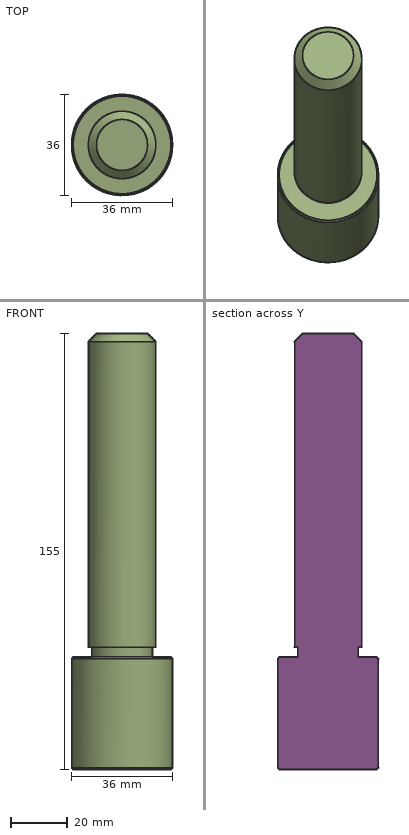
import cadquery as cq

total_length = 155.0
head_diameter = 36.0
head_length = 40.0
head_chamfer = 0.6
neck_diameter = 21.7
neck_length = 3.4
shank_diameter = 24.0
tip_chamfer = 3.0

shank_bottom = head_length + neck_length
head_radius = head_diameter / 2
neck_radius = neck_diameter / 2
shank_radius = shank_diameter / 2

profile = [
    (0, 0),
    (head_radius - head_chamfer, 0),
    (head_radius, head_chamfer),
    (head_radius, head_length - head_chamfer),
    (head_radius - head_chamfer, head_length),
    (neck_radius, head_length),
    (neck_radius, shank_bottom),
    (shank_radius, shank_bottom),
    (shank_radius, total_length - tip_chamfer),
    (shank_radius - tip_chamfer, total_length),
    (0, total_length),
]

result = cq.Workplane("XZ").polyline(profile).close().revolve(360, (0, 0, 0), (0, 1, 0))